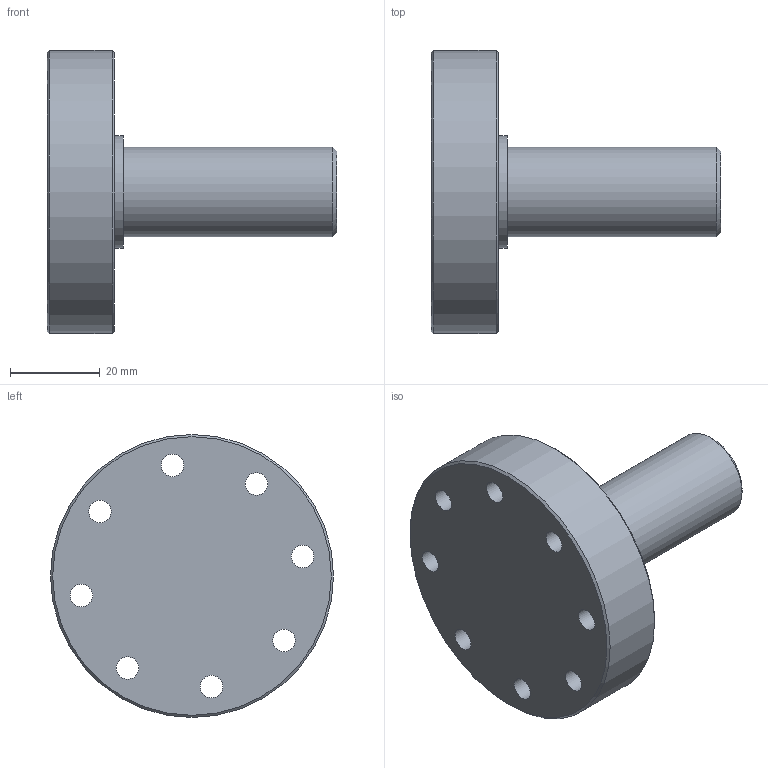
import cadquery as cq

TOTAL_LENGTH = 64.5

FLANGE_DIAMETER = 63.0
FLANGE_THICKNESS = 15.0
FLANGE_CHAMFER = 0.5

COLLAR_DIAMETER = 25.0
COLLAR_LENGTH = 2.0

SHAFT_DIAMETER = 20.0
SHAFT_LENGTH = TOTAL_LENGTH - FLANGE_THICKNESS - COLLAR_LENGTH
SHAFT_CHAMFER = 1.0

HOLE_COUNT = 8
HOLE_DIAMETER = 5.0
HOLE_CIRCLE_DIAMETER = 50.0
FIRST_HOLE_ANGLE = 35.0


def disc(start, diameter, length):
    """Round section along the X axis, beginning at X = start."""
    return cq.Workplane("YZ", origin=(start, 0, 0)).circle(diameter / 2).extrude(length)


def make_flange():
    """Flange with both rims chamfered and a ring of through holes."""
    blank = disc(0, FLANGE_DIAMETER, FLANGE_THICKNESS).edges().chamfer(FLANGE_CHAMFER)
    holes = (
        cq.Workplane("YZ")
        .polarArray(HOLE_CIRCLE_DIAMETER / 2, FIRST_HOLE_ANGLE, 360, HOLE_COUNT)
        .circle(HOLE_DIAMETER / 2)
        .extrude(FLANGE_THICKNESS)
    )
    return blank.cut(holes)


def make_collar():
    """Short shoulder between the flange and the shaft."""
    return disc(FLANGE_THICKNESS, COLLAR_DIAMETER, COLLAR_LENGTH)


def make_shaft():
    """Plain shaft with a chamfered free end."""
    shaft = disc(FLANGE_THICKNESS + COLLAR_LENGTH, SHAFT_DIAMETER, SHAFT_LENGTH)
    return shaft.faces(">X").edges().chamfer(SHAFT_CHAMFER)


result = make_flange().union(make_collar()).union(make_shaft())